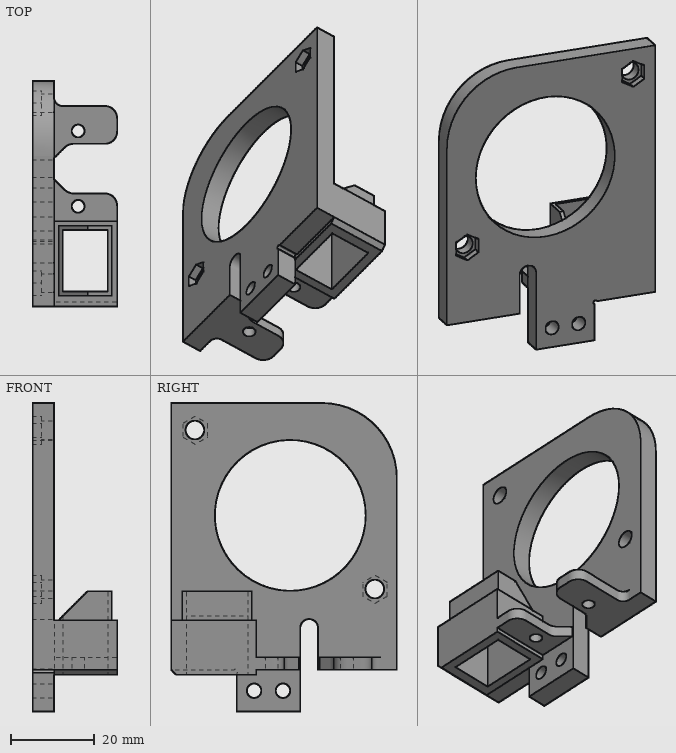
import cadquery as cq
import math


plate_thickness = 5.1
plate_width = 54.0
plate_height = 63.8
plate_corner_radius = 18.0

opening_diameter = 36.0
opening_y = 28.5
opening_z = 36.9

nut_hole_diameter = 4.4
nut_across_flats = 5.8
nut_pocket_depth = 2.0
nut_hole_centers = [(5.7, 57.3), (48.7, 19.3)]

slot_width = 4.2
slot_center_y = 33.0
slot_top = 12.1

tab_drop = 10.0
tab_width = 15.2
tab_max_y = slot_center_y - slot_width / 2
tab_min_y = tab_max_y - tab_width
tab_hole_diameter = 3.4
tab_hole_spacing = 6.9
tab_hole_z = -tab_drop / 2
relief_diameter = 1.0
relief_offset = 0.2

overall_depth = 20.2
arm_thickness = 3.0
arm_gap = 11.8
arm_hole_diameter = 3.0
arm_hole_spacing = 18.0
arm_hole_x = 10.85
arm_corner_radius = 3.0
arm_root_chamfer = 3.4
arm_root_radius = 3.0
arm_end_y = 48.0
arm_end_fillet = 2.0
far_arm_y = slot_center_y + arm_gap / 2
near_arm_y = slot_center_y - arm_gap / 2

box_length = 20.4
box_top = 11.9
box_drop = 1.2
hood_min_x = 6.2
hood_max_x = 18.9
hood_min_y = 2.65
hood_max_y = 19.3
hood_top = 18.8
hood_wall = 1.0


def block(x_range, y_range, z_range):
    """Axis-aligned block spanning the given ranges."""
    size = [high - low for low, high in (x_range, y_range, z_range)]
    corner = (x_range[0], y_range[0], z_range[0])
    return cq.Workplane("XY").box(*size, centered=False).translate(corner)


def plate_holes(centers, diameter):
    """Cylinders through the plate along X at (Y, Z) centers."""
    return cq.Workplane("YZ").pushPoints(centers).circle(diameter / 2).extrude(plate_thickness)


def make_plate():
    plate = block((0, plate_thickness), (0, plate_width), (0, plate_height))
    plate = plate.faces(">Y").edges(">Z").fillet(plate_corner_radius)
    tab = block((0, plate_thickness), (tab_min_y, tab_max_y), (-tab_drop, 0))
    plate = plate.union(tab)

    slot_radius = slot_width / 2
    slot_arc_z = slot_top - slot_radius
    slot = block(
        (0, plate_thickness),
        (slot_center_y - slot_radius, slot_center_y + slot_radius),
        (0, slot_arc_z),
    )
    plate = plate.cut(slot)
    plate = plate.cut(plate_holes([(slot_center_y, slot_arc_z)], slot_width))

    plate = plate.cut(plate_holes([(opening_y, opening_z)], opening_diameter))
    tab_center_y = (tab_min_y + tab_max_y) / 2
    tab_holes = [(tab_center_y + side * tab_hole_spacing / 2, tab_hole_z) for side in (-1, 1)]
    plate = plate.cut(plate_holes(tab_holes, tab_hole_diameter))
    plate = plate.cut(plate_holes([(tab_min_y - relief_offset, -relief_offset)], relief_diameter))
    return cut_nut_holes(plate)


def cut_nut_holes(plate):
    plate = plate.cut(plate_holes(nut_hole_centers, nut_hole_diameter))
    across_corners = nut_across_flats / math.cos(math.pi / 6)
    for y, z in nut_hole_centers:
        pocket = (
            cq.Workplane("YZ")
            .polygon(6, across_corners)
            .extrude(nut_pocket_depth)
            .rotate((0, 0, 0), (1, 0, 0), 90)
            .translate((0, y, z))
        )
        plate = plate.cut(pocket)
    return plate


def arm_body(root_y, side, end_y):
    """Arm from its slot-side edge root_y to end_y, with a sloped root towards the slot."""
    slope_start = (plate_thickness, root_y - side * arm_root_chamfer)
    slope_end = (plate_thickness + arm_root_chamfer, root_y)
    arm = (
        cq.Workplane("XY")
        .moveTo(plate_thickness, end_y)
        .lineTo(*slope_start)
        .lineTo(*slope_end)
        .lineTo(overall_depth, root_y)
        .lineTo(overall_depth, end_y)
        .close()
        .extrude(arm_thickness)
    )
    root_edge = cq.selectors.NearestToPointSelector((*slope_end, arm_thickness / 2))
    return arm.edges(root_edge).fillet(arm_root_radius)


def make_arms():
    far_arm = arm_body(far_arm_y, 1, arm_end_y)
    far_arm = far_arm.edges("|Z and >X").fillet(arm_corner_radius)
    near_arm = arm_body(near_arm_y, -1, box_length)
    near_arm = near_arm.edges("|Z and >X").edges(">Y").fillet(arm_corner_radius)

    web = (
        cq.Workplane("XY")
        .moveTo(plate_thickness, arm_end_y)
        .lineTo(plate_thickness + arm_end_fillet, arm_end_y)
        .radiusArc((plate_thickness, arm_end_y + arm_end_fillet), arm_end_fillet)
        .close()
        .extrude(arm_thickness)
    )
    hole_centers = [(arm_hole_x, slot_center_y + side * arm_hole_spacing / 2) for side in (-1, 1)]
    holes = cq.Workplane("XY").pushPoints(hole_centers).circle(arm_hole_diameter / 2).extrude(arm_thickness)
    return far_arm.union(web).union(near_arm).cut(holes)


def make_box():
    box = block((plate_thickness, overall_depth), (0, box_length), (-box_drop, box_top))
    box = box.faces("<Y").edges("<Z").chamfer(box_drop)

    hood_rise = hood_top - box_top
    hood = (
        cq.Workplane("XZ", origin=(0, hood_max_y, 0))
        .moveTo(hood_min_x, box_top)
        .lineTo(hood_min_x + hood_rise, hood_top)
        .lineTo(hood_max_x, hood_top)
        .lineTo(hood_max_x, box_top)
        .close()
        .extrude(hood_max_y - hood_min_y)
    )
    passage = block(
        (hood_min_x + hood_wall, hood_max_x - hood_wall),
        (hood_min_y + hood_wall, hood_max_y - hood_wall),
        (-box_drop, hood_top),
    )
    return box.union(hood).cut(passage)


result = make_plate().union(make_arms()).union(make_box())